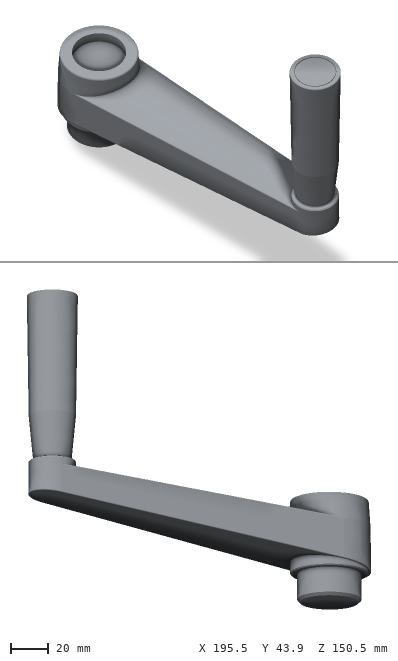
import cadquery as cq
import math


hub_radius = 22.0
hub_top_radius = 20.7
hub_shoulder_z = 41.0
hub_top_z = 55.1
hub_top_round = 1.0
collar_radius = 20.7
collar_bottom_z = 15.3
collar_chamfer = 0.5
spigot_radius = 17.0
spigot_chamfer = 1.5
pocket_radius = 14.3
pocket_depth = 6.0

handle_bottom_z = 61.0
handle_bottom_radius = 10.2
handle_waist_radius = 12.5
handle_waist_z = 85.0
handle_top_radius = 13.5
handle_top_z = 150.5
handle_top_round = 0.5
cap_radius = 10.8
cap_groove_width = 0.4
cap_groove_depth = 0.5
flange_radius = 12.5
flange_root_z = 45
flange_top_z = 60.5
flange_chamfer = 0.5
neck_radius = 9.5

total_length = 195.5
end_x = total_length - hub_radius - handle_top_radius
base_z = collar_bottom_z
end_radius = 13.1
side_draft = 0.8
edge_end_z = 56.3
end_top_z = 56.7
underside_hub_z = 19.0
underside_end_z = 40.7
hub_crown = 3.3
end_crown = 1.8
edge_round = 0.5
section_widening = 1.1


def cylinder(radius, bottom_z, top_z, x=0):
    return cq.Workplane("XY", origin=(x, 0, bottom_z)).circle(radius).extrude(top_z - bottom_z)


def turned(profile, x=0):
    """Solid of revolution about the upright axis at x, from (radius, z) points."""
    outline = cq.Workplane("XZ", origin=(x, 0, 0)).polyline(profile).close()
    return outline.revolve(360, (0, 0, 0), (0, 1, 0))


def along_arm(hub_value, end_value, x):
    """Value at x of a quantity that changes evenly from the hub axis to the handle axis."""
    return hub_value + (end_value - hub_value) * x / end_x


def drafted_radius(base_radius, z):
    return base_radius - (z - base_z) * math.tan(math.radians(side_draft))


def drafted_plan():
    """Two round ends joined by their common tangents, drawn up with the side draft."""
    sine = (hub_radius - end_radius) / end_x
    cosine = math.sqrt(1 - sine**2)
    hub_x, hub_y = hub_radius * sine, hub_radius * cosine
    tip_x, tip_y = end_x + end_radius * sine, end_radius * cosine
    return (
        cq.Workplane("XY", origin=(0, 0, base_z))
        .moveTo(hub_x, hub_y)
        .threePointArc((-hub_radius, 0), (hub_x, -hub_y))
        .lineTo(tip_x, -tip_y)
        .threePointArc((end_x + end_radius, 0), (tip_x, tip_y))
        .close()
        .extrude(flange_top_z - base_z, taper=side_draft)
    )


def arched_section(x):
    """Cross-section with an arched top, wider than the arm at x."""
    edge_z = along_arm(hub_shoulder_z, edge_end_z, x)
    half_width = drafted_radius(along_arm(hub_radius, end_radius, x), edge_z)
    crown = along_arm(hub_crown, end_crown, x)
    crown_z = edge_z + crown
    arch_radius = (half_width**2 + crown**2) / (2 * crown)
    reach = section_widening * half_width
    reach_z = crown_z - arch_radius + math.sqrt(arch_radius**2 - reach**2)
    return (
        cq.Workplane("YZ", origin=(x, 0, 0))
        .moveTo(-reach, 0)
        .lineTo(reach, 0)
        .lineTo(reach, reach_z)
        .threePointArc((0, crown_z), (-reach, reach_z))
        .close()
        .val()
    )


def make_arm():
    """Arm with an arched top between two flat-topped round ends, above a sloping underside."""
    reach = 2 * hub_radius
    arch = cq.Workplane(cq.Solid.makeLoft([arched_section(0), arched_section(end_x)], True))
    hub_end = cq.Workplane("XY", origin=(-reach, 0, 0)).box(
        reach, 2 * reach, hub_shoulder_z, centered=(False, True, False)
    )
    tip_end = cq.Workplane("XY", origin=(end_x, 0, 0)).box(
        reach, 2 * reach, end_top_z, centered=(False, True, False)
    )
    start_x, stop_x = -reach, end_x + reach
    below = (
        cq.Workplane("XZ")
        .moveTo(start_x, -reach)
        .lineTo(stop_x, -reach)
        .lineTo(stop_x, along_arm(underside_hub_z, underside_end_z, stop_x))
        .lineTo(start_x, along_arm(underside_hub_z, underside_end_z, start_x))
        .close()
        .extrude(reach, both=True)
    )
    blank = drafted_plan().cut(below).faces("<Z").edges().fillet(edge_round)
    beam = blank.intersect(arch)
    middle_z = (hub_shoulder_z + edge_end_z) / 2
    middle = cq.selectors.BoxSelector(
        (end_x / 3, -hub_radius, middle_z - end_crown),
        (end_x * 2 / 3, hub_radius, middle_z + end_crown),
    )
    beam = beam.edges(middle).fillet(edge_round)
    return beam.union(blank.intersect(hub_end.union(tip_end)))


def make_hub():
    shoulder_radius = drafted_radius(hub_radius, hub_shoulder_z)
    top = turned([
        (0, hub_shoulder_z),
        (shoulder_radius, hub_shoulder_z),
        (hub_top_radius, hub_top_z),
        (0, hub_top_z),
    ])
    top = top.faces(">Z").edges().fillet(hub_top_round)
    collar = cylinder(collar_radius, collar_bottom_z, hub_shoulder_z).faces("<Z").chamfer(collar_chamfer)
    spigot = cylinder(spigot_radius, 0, hub_shoulder_z).faces("<Z").chamfer(spigot_chamfer)
    return top.union(collar).union(spigot)


def make_handle():
    flange = cylinder(flange_radius, flange_root_z, flange_top_z, end_x).faces(">Z").chamfer(flange_chamfer)
    neck = cylinder(neck_radius, flange_root_z, handle_waist_z, end_x)
    profile = [
        (0, handle_bottom_z),
        (handle_bottom_radius, handle_bottom_z),
        (handle_waist_radius, handle_waist_z),
        (handle_top_radius, handle_top_z),
        (0, handle_top_z),
    ]
    grip = turned(profile, end_x).faces(">Z").edges().fillet(handle_top_round)
    groove = (
        cq.Workplane("XY", origin=(end_x, 0, handle_top_z))
        .circle(cap_radius + cap_groove_width)
        .circle(cap_radius)
        .extrude(-cap_groove_depth)
    )
    return flange.union(neck).union(grip).cut(groove)


pocket = cylinder(pocket_radius, hub_top_z - pocket_depth, hub_top_z)
body = make_arm().union(make_hub()).union(make_handle())
result = body.cut(pocket)